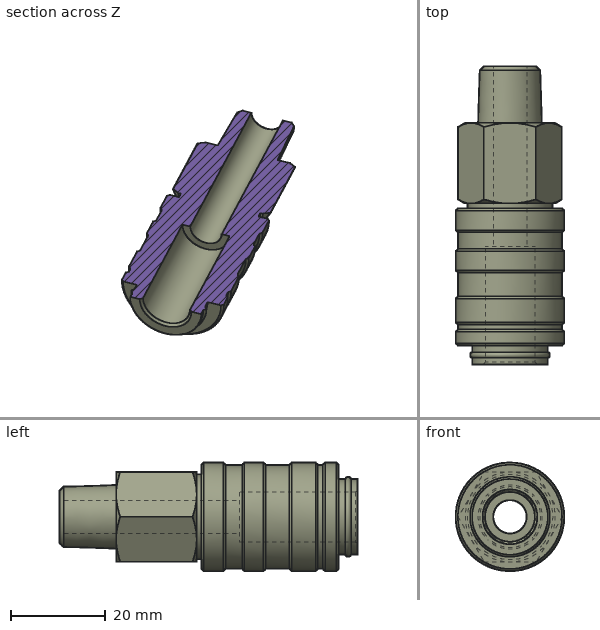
import cadquery as cq
import math

snout_diameter = 16.0
snout_length = 4.0
bead_diameter = 16.9
bead_center = 2.0
bead_half_width = 0.6

sleeve_diameter = 23.0
sleeve_end = 33.0
groove_diameter = 22.0
groove_floors = [(7.4, 8.4), (14.4, 19.4), (24.4, 27.9)]
edge_chamfer = 0.5

neck_diameter = 18.0
hex_start = 34.0
hex_length = 17.0
hex_across_flats = 19.0
hex_chamfer_angle = 30.0

thread_gauge_diameter = 13.157
thread_gauge_length = 6.0
thread_length = 12.0
thread_taper = 1 / 16
thread_chamfer = 0.9

bore_diameter = 7.0
socket_diameter = 10.5
socket_depth = 25.0
socket_chamfer = 0.55

hex_end = hex_start + hex_length
total_length = hex_end + thread_length


def revolve_profile(points):
    """Revolve a closed (radius, y) outline about the Y axis."""
    return cq.Workplane("XY").polyline(points).close().revolve(360, (0, 0, 0), (0, 1, 0))


def cylinder(diameter, start, end):
    radius = diameter / 2
    return revolve_profile([(0, start), (radius, start), (radius, end), (0, end)])


def make_snout():
    """Front nose with a rounded retaining bead around it."""
    radius = snout_diameter / 2
    snout = cylinder(snout_diameter, 0, snout_length)
    bead = (
        cq.Workplane("XY")
        .moveTo(0, bead_center - bead_half_width)
        .lineTo(radius, bead_center - bead_half_width)
        .threePointArc((bead_diameter / 2, bead_center), (radius, bead_center + bead_half_width))
        .lineTo(0, bead_center + bead_half_width)
        .close()
        .revolve(360, (0, 0, 0), (0, 1, 0))
    )
    return snout.union(bead)


def make_sleeve():
    """Grip sleeve with chamfered ends and grooves with sloped walls."""
    outer = sleeve_diameter / 2
    floor = groove_diameter / 2
    end_radius = outer - edge_chamfer
    groove_wall = outer - floor
    points = [(0, snout_length), (end_radius, snout_length), (outer, snout_length + edge_chamfer)]
    for start, end in groove_floors:
        points += [(outer, start - groove_wall), (floor, start), (floor, end), (outer, end + groove_wall)]
    points += [(outer, sleeve_end - edge_chamfer), (end_radius, sleeve_end), (0, sleeve_end)]
    return revolve_profile(points)


def make_hex():
    """Wrench hexagon with corners on the X axis and both ends chamfered by cones."""
    corner_diameter = hex_across_flats / math.cos(math.pi / 6)
    prism = (
        cq.Workplane("XZ", origin=(0, hex_start, 0))
        .polygon(6, corner_diameter)
        .extrude(-hex_length)
    )
    flat_radius = hex_across_flats / 2
    corner_radius = corner_diameter / 2
    chamfer_length = (corner_radius - flat_radius) * math.tan(math.radians(hex_chamfer_angle))
    envelope = revolve_profile([
        (0, hex_start),
        (flat_radius, hex_start),
        (corner_radius, hex_start + chamfer_length),
        (corner_radius, hex_end - chamfer_length),
        (flat_radius, hex_end),
        (0, hex_end),
    ])
    return prism.intersect(envelope)


def make_thread():
    """Plain tapered thread body with a chamfered free end."""
    gauge_y = total_length - thread_gauge_length
    chamfer_y = total_length - thread_chamfer

    def thread_radius(y):
        return (thread_gauge_diameter - (y - gauge_y) * thread_taper) / 2

    return revolve_profile([
        (0, hex_end),
        (thread_radius(hex_end), hex_end),
        (thread_radius(chamfer_y), chamfer_y),
        (thread_radius(chamfer_y) - thread_chamfer, total_length),
        (0, total_length),
    ])


def make_passage():
    """Chamfered socket that steps down to the through bore."""
    socket_radius = socket_diameter / 2
    bore_radius = bore_diameter / 2
    return revolve_profile([
        (0, 0),
        (socket_radius + socket_chamfer, 0),
        (socket_radius, socket_chamfer),
        (socket_radius, socket_depth),
        (bore_radius, socket_depth),
        (bore_radius, total_length),
        (0, total_length),
    ])


neck = cylinder(neck_diameter, sleeve_end, hex_start)
body = make_snout().union(make_sleeve()).union(neck).union(make_hex()).union(make_thread())
result = body.cut(make_passage())